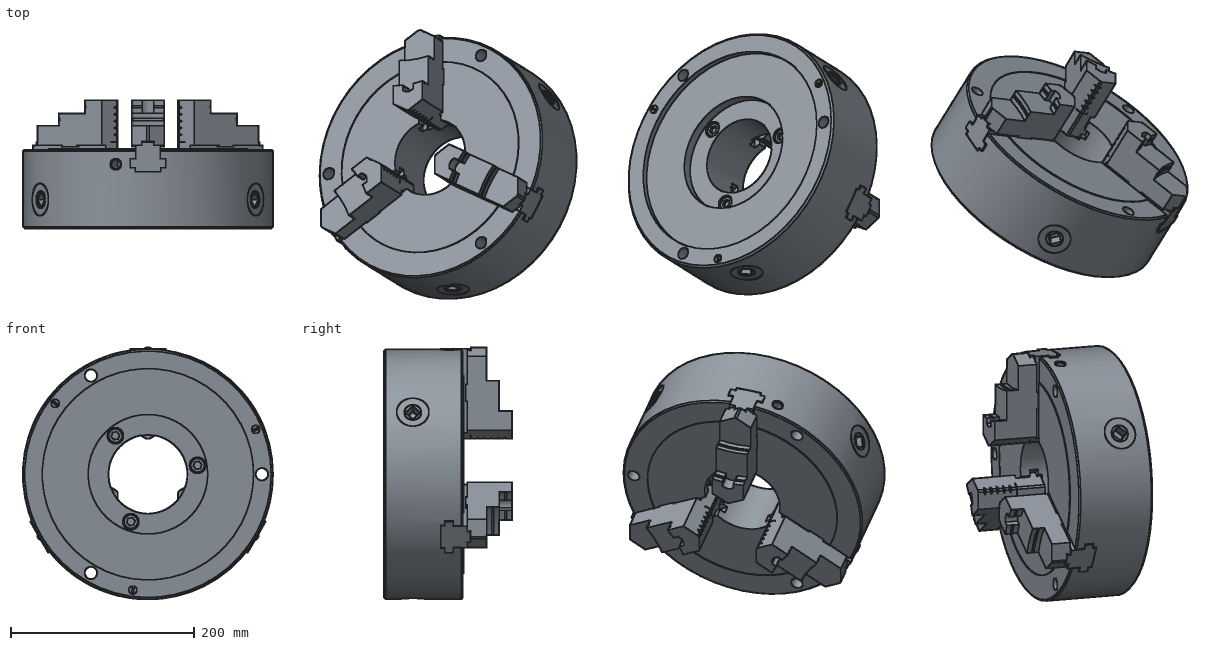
import cadquery as cq
import math


overall_height = 275.0
jaw_count = 3
body_radius = 273.0 / 2
body_length = 86.0
bore_radius = 43.0
back_chamfer = 2.2
front_chamfer = 1.6
front_pad_radius = 108.4
front_pad_height = 0.8
register_radius = 115.2
register_depth = 6.5
inner_recess_radius = 65.2
inner_recess_depth = 17.5

mount_hole_radius = 6.5
mount_circle_radius = 124.3
slot_screw_radius = 4.5
slot_screw_circle_radius = 127.3
slot_screw_angle = 22.6
slot_screw_recess = 0.8
slot_width = 2.0
slot_depth = 1.5
cap_screw_circle_radius = 55.0
cap_screw_angle = 10.2
cap_bore_radius = 8.8
cap_bore_depth = 6.5
cap_head_radius = 7.5
cap_head_height = 5.0
hex_across_corners = 9.4
hex_depth = 3.5

pinion_angle = 30.0
pinion_height = 31.5
pinion_flat_radius = 17.5
pinion_mouth_radius = 9.4
pinion_mouth_depth = 1.0
square_diagonal = 16.5
square_depth = 13.8
oil_hole_angle = 105.0
oil_hole_height = 70.0
oil_hole_radius = 5.2
oil_hole_depth = 27.5
oil_mouth_radius = 6.0
oil_mouth_depth = 1.6

jaw_angle = 90.0
jaw_tip_radius = 38.5
jaw_outer_radius = overall_height - body_radius
jaw_half_width = 18.0
jaw_tip_half_width = 1.5
jaw_outer_half_width = 1.5
jaw_end_slope = math.tan(math.radians(30))
jaw_top = 140.0
jaw_base = 90.8
key_bottom = 89.0
key_inner_radius = 79.5
key_outer_radius = 98.0
step_radii = (69.0, 102.0)
step_heights = (125.7, 112.2)
grip_arc_radius = 99.0
grip_edge_land = 1.0
grip_groove_width = 2.2
grip_groove_depth = 0.5
relief_half_width = 6.3
relief_wall_depth = 5.5
relief_arc_radius = 9.4
tooth_spacing = 7.5
tooth_count = 5
first_tooth_height = 102.3
tooth_depth = 1.6
tooth_half_height = 1.5

guide_outer_radius = 137.0
guide_bottom = 62.2
wing_bottom = 66.3
wing_top = 76.0
tongue_top = 94.3
guide_foot_half_width = 14.0
wing_half_width = 19.5
neck_half_width = 13.5
tongue_half_width = 6.5
tongue_slot_top = 95.0


arc_half_width = jaw_half_width - grip_edge_land
grip_arc_depth = grip_arc_radius - math.sqrt(grip_arc_radius**2 - arc_half_width**2)
jaw_outer_taper = (jaw_half_width - jaw_outer_half_width) * jaw_end_slope


def disc(radius, start, end, at_radius=0.0):
    """Cylinder parallel to the spindle axis, from Y = start to Y = end."""
    return cq.Workplane("XZ", origin=(at_radius, start, 0)).circle(radius).extrude(start - end)


def turned(shape, angle):
    """Turn a shape made on the +X side to an angle measured from +X towards +Z."""
    return shape.rotate((0, 0, 0), (0, 1, 0), -angle)


def all_around(shape, first_angle):
    """Equally spaced copies of a shape, one per jaw, starting at the given angle."""
    copies = turned(shape, first_angle)
    for i in range(1, jaw_count):
        copies = copies.union(turned(shape, first_angle + i * 360 / jaw_count))
    return copies


def plan_prism(points, bottom, top):
    """Prism over an outline of (radius, sideways) points, from Y = bottom to Y = top."""
    return cq.Workplane("XZ", origin=(0, bottom, 0)).polyline(points).close().extrude(bottom - top)


def make_body():
    """Turned body with two recesses in the back and a low raised pad on the front."""
    pad_top = body_length + front_pad_height
    profile = [
        (bore_radius, inner_recess_depth),
        (inner_recess_radius, inner_recess_depth),
        (inner_recess_radius, register_depth),
        (register_radius, register_depth),
        (register_radius, 0),
        (body_radius - back_chamfer, 0),
        (body_radius, back_chamfer),
        (body_radius, body_length - front_chamfer),
        (body_radius - front_chamfer, body_length),
        (front_pad_radius, body_length),
        (front_pad_radius, pad_top),
        (bore_radius, pad_top),
    ]
    return cq.Workplane("XY").polyline(profile).close().revolve(360, (0, 0, 0), (0, 1, 0))


def slot_screw_cut():
    """Shallow recess above a screw head with a radial driver slot."""
    recess = disc(slot_screw_radius, 0, slot_screw_recess, slot_screw_circle_radius)
    slot_bottom = slot_screw_recess + slot_depth
    slot_length = 2 * slot_screw_radius
    slot = cq.Workplane("XY").box(slot_length, slot_bottom, slot_width, centered=(True, False, True))
    slot = slot.translate((slot_screw_circle_radius, 0, 0))
    return recess.union(slot.intersect(disc(slot_screw_radius, 0, slot_bottom, slot_screw_circle_radius)))


def cap_screw_cut():
    """Counterbore left empty around a raised screw head with a hexagon socket."""
    bore_floor = inner_recess_depth + cap_bore_depth
    head_face = bore_floor - cap_head_height
    bore = disc(cap_bore_radius, inner_recess_depth, bore_floor, cap_screw_circle_radius)
    head = disc(cap_head_radius, head_face, bore_floor, cap_screw_circle_radius)
    socket = (
        cq.Workplane("XZ", origin=(cap_screw_circle_radius, head_face, 0))
        .polygon(6, hex_across_corners)
        .extrude(-hex_depth)
    )
    return bore.cut(head).union(socket)


def pinion_cut():
    """Flat seat on the rim around the square key socket of a pinion and its round mouth."""
    flat = math.sqrt(body_radius**2 - pinion_flat_radius**2)
    seat = cq.Workplane("YZ", origin=(flat, pinion_height, 0))
    cut = seat.circle(pinion_flat_radius).extrude(body_radius - flat)
    mouth = seat.circle(pinion_mouth_radius).extrude(-pinion_mouth_depth)
    square = seat.polygon(4, square_diagonal).extrude(-square_depth)
    return cut.union(mouth).union(square)


def oil_hole_cut():
    """Blind hole with a slightly wider mouth."""
    rim = cq.Workplane("YZ", origin=(body_radius, oil_hole_height, 0))
    mouth = rim.circle(oil_mouth_radius).extrude(-oil_mouth_depth)
    return mouth.union(rim.circle(oil_hole_radius).extrude(-oil_hole_depth))


def flank_radius(sideways):
    """Radius at which the pointed inner end of a jaw has the given half width."""
    return jaw_tip_radius + (sideways - jaw_tip_half_width) * jaw_end_slope


def guide_bar():
    """T-shaped bar with a tongue on top, running outwards from the axis. It also cuts the body slots."""
    right_half = [
        (guide_foot_half_width, guide_bottom),
        (guide_foot_half_width, wing_bottom),
        (wing_half_width, wing_bottom),
        (wing_half_width, wing_top),
        (neck_half_width, wing_top),
        (neck_half_width, jaw_base),
        (tongue_half_width, jaw_base),
        (tongue_half_width, tongue_top),
    ]
    left_half = [(-z, y) for z, y in reversed(right_half)]
    section = [(y, z) for z, y in right_half + left_half]
    return cq.Workplane("YZ").polyline(section).close().extrude(guide_outer_radius)


def make_guide():
    """Guide bar with its inner end pointed like the jaw tip."""
    wedge = [
        (jaw_tip_radius, -jaw_tip_half_width),
        (flank_radius(wing_half_width), -wing_half_width),
        (guide_outer_radius, -wing_half_width),
        (guide_outer_radius, wing_half_width),
        (flank_radius(wing_half_width), wing_half_width),
        (jaw_tip_radius, jaw_tip_half_width),
    ]
    return guide_bar().intersect(plan_prism(wedge, guide_bottom, tongue_top))


def step_cut(face, floor, top):
    """Clears one jaw step down to a hollow gripping face with a groove along its middle."""
    clearance = [
        (face, -jaw_half_width),
        (jaw_outer_radius, -jaw_half_width),
        (jaw_outer_radius, jaw_half_width),
        (face, jaw_half_width),
    ]

    def hollow(arc_face, bottom, height):
        return (
            cq.Workplane("XZ", origin=(0, bottom, 0))
            .moveTo(arc_face, -arc_half_width)
            .threePointArc((arc_face - grip_arc_depth, 0), (arc_face, arc_half_width))
            .lineTo(jaw_outer_radius, arc_half_width)
            .lineTo(jaw_outer_radius, -arc_half_width)
            .close()
            .extrude(-height)
        )

    groove_bottom = (floor + top - grip_groove_width) / 2
    groove = hollow(face - grip_groove_depth, groove_bottom, grip_groove_width)
    return plan_prism(clearance, floor, top).union(hollow(face, floor, top - floor)).union(groove)


def relief_cut():
    """Slot with a rounded bottom down the middle of the highest gripping face."""
    arc_ends = step_radii[0] - grip_arc_depth - relief_wall_depth
    arc_depth = relief_arc_radius - math.sqrt(relief_arc_radius**2 - relief_half_width**2)
    return (
        cq.Workplane("XZ", origin=(0, step_heights[0], 0))
        .moveTo(arc_ends, -relief_half_width)
        .threePointArc((arc_ends - arc_depth, 0), (arc_ends, relief_half_width))
        .lineTo(step_radii[0], relief_half_width)
        .lineTo(step_radii[0], -relief_half_width)
        .close()
        .extrude(step_heights[0] - jaw_top)
    )


def tooth_cut(height):
    """V-notch across the tip of a jaw."""
    notch = [
        (jaw_tip_radius, height - tooth_half_height),
        (jaw_tip_radius + tooth_depth, height),
        (jaw_tip_radius, height + tooth_half_height),
    ]
    return cq.Workplane("XY").polyline(notch).close().extrude(jaw_half_width, both=True)


def make_jaw():
    """Stepped jaw with its cross key and guide, made on the +X side."""
    plan = [
        (jaw_tip_radius, -jaw_tip_half_width),
        (flank_radius(jaw_half_width), -jaw_half_width),
        (jaw_outer_radius - jaw_outer_taper, -jaw_half_width),
        (jaw_outer_radius, -jaw_outer_half_width),
        (jaw_outer_radius, jaw_outer_half_width),
        (jaw_outer_radius - jaw_outer_taper, jaw_half_width),
        (flank_radius(jaw_half_width), jaw_half_width),
        (jaw_tip_radius, jaw_tip_half_width),
    ]
    jaw = plan_prism(plan, jaw_base, jaw_top)
    for face, floor, top in zip(step_radii, step_heights, (jaw_top, step_heights[0])):
        jaw = jaw.cut(step_cut(face, floor, top))

    jaw = jaw.cut(relief_cut())
    for i in range(tooth_count):
        jaw = jaw.cut(tooth_cut(first_tooth_height + i * tooth_spacing))

    tongue_slot = cq.Workplane("XY").box(
        jaw_outer_radius, tongue_slot_top - jaw_base, 2 * tongue_half_width, centered=(False, False, True)
    )
    jaw = jaw.cut(tongue_slot.translate((0, jaw_base, 0)))

    key = [
        (key_inner_radius, -jaw_half_width),
        (key_outer_radius, -jaw_half_width),
        (key_outer_radius, jaw_half_width),
        (key_inner_radius, jaw_half_width),
    ]
    return jaw.union(plan_prism(key, key_bottom, jaw_base)).union(make_guide())


mount_hole = disc(mount_hole_radius, 0, body_length, mount_circle_radius)

body = (
    make_body()
    .cut(all_around(mount_hole, 0))
    .cut(all_around(slot_screw_cut(), slot_screw_angle))
    .cut(all_around(cap_screw_cut(), cap_screw_angle))
    .cut(all_around(pinion_cut(), pinion_angle))
    .cut(turned(oil_hole_cut(), oil_hole_angle))
    .cut(all_around(guide_bar(), jaw_angle))
)

result = body.union(all_around(make_jaw(), jaw_angle))